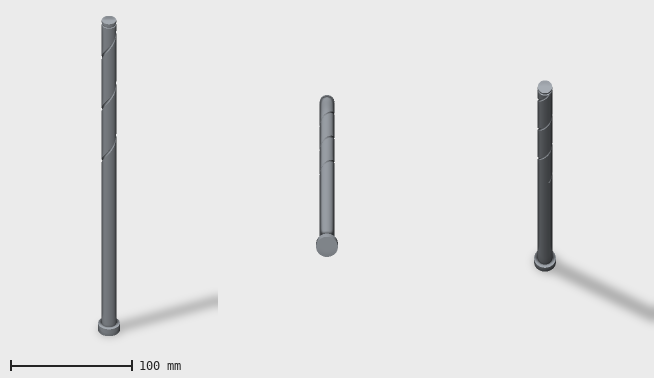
import cadquery as cq
import math

TOTAL_LENGTH = 315.0
SHAFT_RADIUS = 6.0

HEAD_RADIUS = 9.0
HEAD_HEIGHT = 7.0

RING_TOP_OFFSET = 2.3
RING_WIDTH = 2.1
RING_DEPTH = 1.0

HELIX_PITCH = 52.5
HELIX_TURNS = 3
HELIX_START_Z = 152.5
HELIX_START_ANGLE = 90.0
HELIX_GROOVE_RADIUS = 1.0


def make_pin():
    """Plain shaft standing on its wider head."""
    head = cq.Workplane("XY").circle(HEAD_RADIUS).extrude(HEAD_HEIGHT)
    shaft = cq.Workplane("XY").circle(SHAFT_RADIUS).extrude(TOTAL_LENGTH)
    return head.union(shaft)


def make_ring_cutter():
    """Square-edged ring that leaves a reduced neck just below the top end."""
    return (
        cq.Workplane("XY")
        .workplane(offset=TOTAL_LENGTH - RING_TOP_OFFSET - RING_WIDTH)
        .circle(HEAD_RADIUS)
        .circle(SHAFT_RADIUS - RING_DEPTH)
        .extrude(RING_WIDTH)
    )


def make_helix_cutter():
    """Round section swept along the helix, then set at its start angle and height."""
    path = cq.Wire.makeHelix(HELIX_PITCH, HELIX_PITCH * HELIX_TURNS, SHAFT_RADIUS)
    start_plane = cq.Plane(
        origin=(SHAFT_RADIUS, 0, 0),
        xDir=(1, 0, 0),
        normal=(0, 2 * math.pi * SHAFT_RADIUS, HELIX_PITCH),
    )
    cutter = (
        cq.Workplane(start_plane)
        .circle(HELIX_GROOVE_RADIUS)
        .sweep(cq.Workplane(path), isFrenet=True)
    )
    return cutter.rotate((0, 0, 0), (0, 0, 1), HELIX_START_ANGLE).translate((0, 0, HELIX_START_Z))


result = make_pin().cut(make_ring_cutter()).cut(make_helix_cutter())